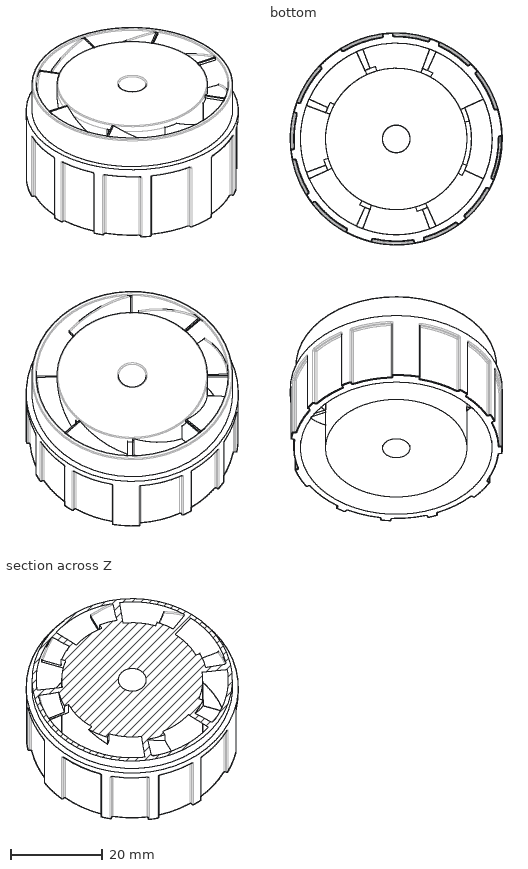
import cadquery as cq
import math

outer_radius = 23.25
total_height = 25.0

neck_radius = 22.0
sleeve_bore_radius = 21.0
grip_height = 18.0
neck_edge_round = 0.2
grip_bottom_chamfer = 0.15

panel_depth = 0.75
panel_height = 16.0
panel_round = 0.25
panel_corner_round = 0.3
rib_groups = 3
first_wide_rib_angle = -9.0
wide_rib_half_angle = 7.6
narrow_rib_half_angle = 2.95
narrow_rib_offsets = (34.4, 60.4, 86.4)

cap_radius = 16.5
cap_thickness = 1.5
core_radius = 15.5
bore_radius = 3.0
bore_edge_round = 0.25
cap_edge_round = 0.2

blade_count = 8
blade_gap_angle = 4.0
blade_drop_per_pitch = 7.0
blade_thickness = 0.7
blade_wall_fillet = 0.25
blade_top_drop = 0.1
blade_edge_flat_drop = 0.25
weld_overlap = 0.2

tolerance = 0.01
group_angle = 360.0 / rib_groups
blade_pitch_angle = 360.0 / blade_count
blade_span_angle = blade_pitch_angle - blade_gap_angle
blade_top = total_height - blade_top_drop
panel_radius = outer_radius - panel_depth


def cylinder(radius, height, base=0.0):
    """Upright cylinder centred on the Z axis."""
    return cq.Workplane("XY").workplane(offset=base).circle(radius).extrude(height)


def polar(radius, angle):
    """Point in the XY plane at the given radius and angle in degrees."""
    return (radius * math.cos(math.radians(angle)), radius * math.sin(math.radians(angle)))


def panel_cutter(start_angle, end_angle):
    """Annular sector that recesses one panel, its root edges rounded."""
    reach = outer_radius + panel_depth
    middle_angle = (start_angle + end_angle) / 2
    sector = (
        cq.Workplane("XY")
        .workplane(offset=-panel_height)
        .moveTo(*polar(panel_radius, start_angle))
        .threePointArc(polar(panel_radius, middle_angle), polar(panel_radius, end_angle))
        .lineTo(*polar(reach, end_angle))
        .threePointArc(polar(reach, middle_angle), polar(reach, start_angle))
        .close()
        .extrude(2 * panel_height)
    )
    inner_face = cq.selectors.NearestToPointSelector((*polar(panel_radius, middle_angle), 0))
    sector = sector.faces(">Z").edges("%LINE").fillet(panel_corner_round)
    return sector.faces(inner_face).edges("not <Z").fillet(panel_round)


def panel_spans():
    """Start and end angles of every panel around the grip."""
    spans = []
    for group in range(rib_groups):
        wide_centre = first_wide_rib_angle + group * group_angle
        start = wide_centre + wide_rib_half_angle
        for offset in narrow_rib_offsets:
            spans.append((start, wide_centre + offset - narrow_rib_half_angle))
            start = wide_centre + offset + narrow_rib_half_angle
        spans.append((start, wide_centre + group_angle - wide_rib_half_angle))
    return spans


def is_panel_rim(edge):
    """True for the outer edges that border a recessed panel above the bottom face."""
    start = edge.startPoint()
    on_outer_surface = math.hypot(start.x, start.y) > outer_radius - tolerance
    return on_outer_surface and tolerance < edge.Center().z < panel_height + tolerance


def make_grip():
    """Lower sleeve with recessed panels and rounded rib edges."""
    grip = cylinder(outer_radius, grip_height)
    for start_angle, end_angle in panel_spans():
        grip = grip.cut(panel_cutter(start_angle, end_angle))
    grip = grip.edges().filter(is_panel_rim).fillet(panel_round)
    return grip.faces("<Z").edges().chamfer(grip_bottom_chamfer)


def make_sleeve():
    """Ribbed grip with the neck on top, bored through."""
    neck = cylinder(neck_radius, total_height)
    sleeve = make_grip().union(neck).cut(cylinder(sleeve_bore_radius, total_height))
    return sleeve.faces(">Z").edges().fillet(neck_edge_round)


def make_hub():
    """Core and cap disc; the bore and the cap are rounded at the top."""
    core = cylinder(core_radius, total_height)
    cap = cylinder(cap_radius, cap_thickness, total_height - cap_thickness)
    hub = core.union(cap).cut(cylinder(bore_radius, total_height))
    hub = hub.faces(">Z").edges("%CIRCLE").edges(cq.selectors.RadiusNthSelector(0)).fillet(bore_edge_round)
    return hub.faces(">Z").edges(cq.selectors.RadiusNthSelector(-1)).fillet(cap_edge_round)


def descending_sweep(section):
    """Sweep an XZ section down a helix counterclockwise; its origin starts on the X axis at the blade top."""
    drop = blade_drop_per_pitch * blade_span_angle / blade_pitch_angle
    full_turn_drop = blade_drop_per_pitch * blade_count
    path = cq.Wire.makeHelix(full_turn_drop, drop, sleeve_bore_radius)
    rising_clockwise = section.sweep(cq.Workplane(path), isFrenet=True).mirror("XZ")
    raised = rising_clockwise.translate((0, 0, blade_top - drop))
    return raised.rotate((0, 0, 0), (0, 0, 1), blade_span_angle)


def make_blade():
    """Helical plate with a fillet against the sleeve and a flattened leading edge."""
    wall_radius = sleeve_bore_radius + weld_overlap
    fillet_start = sleeve_bore_radius - blade_wall_fillet
    arc_shift = blade_wall_fillet * math.sqrt(0.5)
    section = (
        cq.Workplane("XZ")
        .moveTo(core_radius - weld_overlap, -blade_thickness)
        .lineTo(wall_radius, -blade_thickness)
        .lineTo(wall_radius, blade_wall_fillet)
        .lineTo(sleeve_bore_radius, blade_wall_fillet)
        .threePointArc(
            (fillet_start + arc_shift, blade_wall_fillet - arc_shift),
            (fillet_start, 0),
        )
        .lineTo(core_radius - weld_overlap, 0)
        .close()
    )
    height_limit = cylinder(outer_radius, total_height - blade_edge_flat_drop)
    return descending_sweep(section).intersect(height_limit)


def make_hub_skin():
    """Wall flush with the cap that closes the space between one blade and the cap."""
    inner_radius = core_radius - weld_overlap
    middle_angle = blade_span_angle / 2
    sector = (
        cq.Workplane("XY")
        .moveTo(inner_radius, 0)
        .lineTo(cap_radius, 0)
        .threePointArc(polar(cap_radius, middle_angle), polar(cap_radius, blade_span_angle))
        .lineTo(*polar(inner_radius, blade_span_angle))
        .threePointArc(polar(inner_radius, middle_angle), (inner_radius, 0))
        .close()
        .extrude(total_height - cap_thickness)
    )
    space_below_blade = descending_sweep(
        cq.Workplane("XZ")
        .moveTo(inner_radius - weld_overlap, -blade_thickness / 2)
        .lineTo(cap_radius + weld_overlap, -blade_thickness / 2)
        .lineTo(cap_radius + weld_overlap, -total_height)
        .lineTo(inner_radius - weld_overlap, -total_height)
        .close()
    )
    return sector.cut(space_below_blade)


def around_hub(shape):
    """Copies of a shape at every blade position."""
    first_edge = (blade_pitch_angle + blade_gap_angle) / 2
    return [
        shape.rotate((0, 0, 0), (0, 0, 1), first_edge + index * blade_pitch_angle)
        for index in range(blade_count)
    ]


result = make_hub()
for hub_skin in around_hub(make_hub_skin()):
    result = result.union(hub_skin)
for blade in around_hub(make_blade()):
    result = result.union(blade)
result = result.union(make_sleeve())